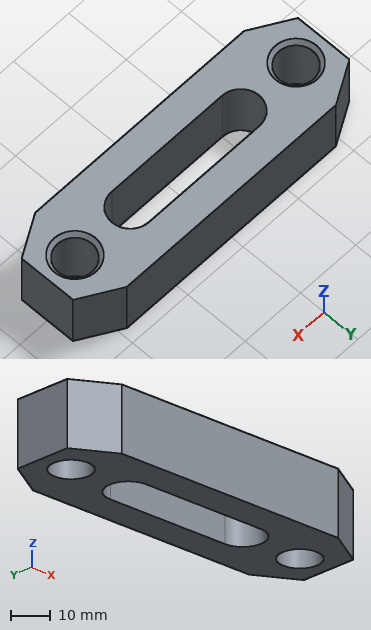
import cadquery as cq
import math

length = 100.0
width = 32.0
height = 19.0

corner_length = 12.2
corner_angle = 30.0
corner_width = corner_length * math.tan(math.radians(corner_angle))

slot_length = 53.0
slot_width = 13.0

hole_spacing = 80.0
hole_diameter = 12.0
hole_mouth_diameter = 14.5
hole_chamfer = (hole_mouth_diameter - hole_diameter) / 2


def make_bar():
    """Flat bar with its four vertical corners cut off."""
    half_length = length / 2
    half_width = width / 2
    flat_x = half_length - corner_length
    flat_y = half_width - corner_width
    outline = [
        (-flat_x, -half_width),
        (flat_x, -half_width),
        (half_length, -flat_y),
        (half_length, flat_y),
        (flat_x, half_width),
        (-flat_x, half_width),
        (-half_length, flat_y),
        (-half_length, -flat_y),
    ]
    return cq.Workplane("XY").polyline(outline).close().extrude(height)


def cut_slot(body):
    """Cut the round-ended slot through the bar."""
    slot = cq.Workplane("XY").slot2D(slot_length, slot_width).extrude(height)
    return body.cut(slot)


def cut_end_holes(body):
    """Drill a through hole near each end and chamfer its top edge."""
    for x in (-hole_spacing / 2, hole_spacing / 2):
        drill = cq.Workplane("XY").center(x, 0).circle(hole_diameter / 2).extrude(height)
        mouth = (
            cq.Workplane("XY", origin=(x, 0, height - hole_chamfer))
            .circle(hole_diameter / 2)
            .workplane(offset=hole_chamfer)
            .circle(hole_mouth_diameter / 2)
            .loft()
        )
        body = body.cut(drill).cut(mouth)
    return body


result = cut_end_holes(cut_slot(make_bar()))